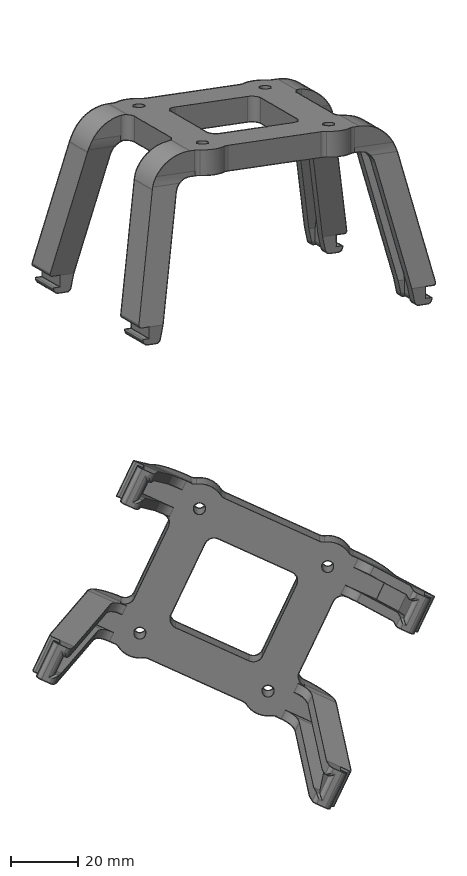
import cadquery as cq
import math

HEIGHT = 55.4
LENGTH = 98.5
FOOT_SPAN = 71.0

DECK_THICK = 8.0
DECK_HALF = 27.0
BAR_WIDTH = 12.0
CORNER_RADIUS = 3.0
HOLE_OFFSET = 21.0
HOLE_DIAMETER = 3.5
BOSS_RADIUS = 7.6

SPLAY_ANGLE = math.radians(12.3)
LEG_ROOT = 26.5
OUTER_BEND_RADIUS = 13.0
INNER_BEND_RADIUS = 5.0
SIDE_BEND_RADIUS = 15.0

FOOT_HEIGHT = 5.5
LEDGE_RADIUS = 0.8
STEM_FACE = 45.9
HOOK_REACH = 48.2
HOOK_THICK = 1.9
HOOK_UNDERCUT = 0.7
HOOK_RADIUS = 1.5
HOOK_TIP_RADIUS = 0.3
TOE_RADIUS = 1.5

CHANNEL_WIDTH = 6.0
CHANNEL_DEPTH = 6.0
CHANNEL_FLOOR = 43.3

MARGIN = 0.1

deck_underside = HEIGHT - DECK_THICK
bar_inner = DECK_HALF - BAR_WIDTH
bar_middle = DECK_HALF - BAR_WIDTH / 2
foot_middle = FOOT_SPAN / 2 - BAR_WIDTH / 2
splay = math.tan(SPLAY_ANGLE)
ledge_corner = LENGTH / 2 + LEDGE_RADIUS * (splay + 1 / math.cos(SPLAY_ANGLE) - 1)


def leg_y(depth, z):
    """Y of the plane parallel to the outer leg face, set in by depth, at height z."""
    return ledge_corner - depth / math.cos(SPLAY_ANGLE) - splay * (z - FOOT_HEIGHT)


def four_corners(distance):
    """Corners of a centred square, given its half side."""
    return [(sx * distance, sy * distance) for sx in (-1, 1) for sy in (-1, 1)]


def mirrored(half, plane):
    """A half shape joined with its mirror image."""
    return half.union(half.mirror(plane))


def fillet_at(solid, axis, places, radius):
    """Round the edges parallel to an axis that pass through the given places."""
    for place in places:
        low = [-LENGTH if c is None else c - MARGIN for c in place]
        high = [LENGTH if c is None else c + MARGIN for c in place]
        box = cq.selectors.BoxSelector(low, high)
        solid = solid.edges("|" + axis).edges(box).fillet(radius)
    return solid


def side_profile():
    """Bridge shape seen along X: deck, bends, sloping legs and hooked feet."""
    inner_corner = (leg_y(DECK_THICK, deck_underside), deck_underside)
    outer_corner = (leg_y(0, HEIGHT), HEIGHT)
    hook_tip = (HOOK_REACH, HOOK_THICK)
    hook_heel = (HOOK_REACH - HOOK_UNDERCUT, 0)
    outline = [
        (0, HEIGHT),
        outer_corner,
        (ledge_corner, FOOT_HEIGHT),
        (STEM_FACE, FOOT_HEIGHT),
        (STEM_FACE, HOOK_THICK),
        hook_tip,
        hook_heel,
        (leg_y(DECK_THICK, 0), 0),
        inner_corner,
        (0, deck_underside),
    ]
    half = cq.Workplane("YZ").polyline(outline).close().extrude(FOOT_SPAN / 2, both=True)
    roundings = [
        (outer_corner, OUTER_BEND_RADIUS),
        (inner_corner, INNER_BEND_RADIUS),
        ((ledge_corner, FOOT_HEIGHT), LEDGE_RADIUS),
        (hook_heel, HOOK_RADIUS),
        (hook_tip, HOOK_TIP_RADIUS),
    ]
    for (y, z), radius in roundings:
        half = fillet_at(half, "X", [(None, y, z)], radius)
    return mirrored(half, "XZ")


def leg_strip(width):
    """Pair of strips seen along Y that follow the middle of the legs down to the feet."""
    half_width = width / 2
    path = [
        (bar_middle, HEIGHT),
        (bar_middle, deck_underside),
        (foot_middle, FOOT_HEIGHT),
        (foot_middle, 0),
    ]
    outside = [(x + half_width, z) for x, z in path]
    inside = [(x - half_width, z) for x, z in reversed(path)]
    strip = cq.Workplane("XZ").polyline(outside + inside).close().extrude(LENGTH / 2, both=True)
    bends = [(bar_middle + side * half_width, None, deck_underside) for side in (-1, 1)]
    return mirrored(fillet_at(strip, "Y", bends, SIDE_BEND_RADIUS), "YZ")


def deck():
    """Frame with a square window, bosses at the holes and rounded roots for the legs."""
    stub_end = DECK_HALF + CORNER_RADIUS + MARGIN
    base = cq.Workplane("XY").workplane(offset=deck_underside)
    plate = base.rect(2 * DECK_HALF, 2 * stub_end).extrude(DECK_THICK)
    notches = [(0, side * (DECK_HALF + LENGTH / 2)) for side in (-1, 1)]
    plate = plate.cut(base.pushPoints(notches).rect(2 * bar_inner, LENGTH).extrude(DECK_THICK))
    window = base.rect(2 * bar_inner, 2 * bar_inner).extrude(DECK_THICK)
    plate = plate.cut(window.edges("|Z").fillet(CORNER_RADIUS))
    roots = [(sx * bar_inner, sy * DECK_HALF, None) for sx in (-1, 1) for sy in (-1, 1)]
    plate = fillet_at(plate, "Z", roots, CORNER_RADIUS)

    bosses = base.pushPoints(four_corners(HOLE_OFFSET)).circle(BOSS_RADIUS).extrude(DECK_THICK)
    core = base.rect(2 * bar_middle, LENGTH).extrude(DECK_THICK)
    plate = plate.union(bosses.cut(core))
    boss_reach = math.sqrt(BOSS_RADIUS**2 - (DECK_HALF - HOLE_OFFSET) ** 2)
    boss_ends = [
        (sx * DECK_HALF, sy * HOLE_OFFSET + end * boss_reach, None)
        for sx in (-1, 1) for sy in (-1, 1) for end in (-1, 1)
    ]
    return fillet_at(plate, "Z", boss_ends, CORNER_RADIUS)


def channels():
    """Grooves up the inner leg faces; the floor is upright near the foot, then follows the leg."""
    back_wall = DECK_THICK - CHANNEL_DEPTH
    floor_turn = FOOT_HEIGHT + (leg_y(back_wall, FOOT_HEIGHT) - CHANNEL_FLOOR) / splay
    outline = [
        (bar_middle, deck_underside),
        (leg_y(back_wall, deck_underside), deck_underside),
        (CHANNEL_FLOOR, floor_turn),
        (CHANNEL_FLOOR, 0),
        (bar_middle, 0),
    ]
    half = cq.Workplane("YZ").polyline(outline).close().extrude(FOOT_SPAN / 2, both=True)
    return mirrored(half, "XZ").intersect(leg_strip(CHANNEL_WIDTH))


def round_toes(solid):
    """Round the bottom edges of the feet at the inner face and around the channel mouth."""
    for side in (-1, 1):
        y_ends = sorted((side * (leg_y(DECK_THICK, 0) - MARGIN), side * (CHANNEL_FLOOR + MARGIN)))
        low = (-FOOT_SPAN, y_ends[0], -MARGIN)
        high = (FOOT_SPAN, y_ends[1], MARGIN)
        solid = solid.edges(cq.selectors.BoxSelector(low, high)).fillet(TOE_RADIUS)
    return solid


bridge = side_profile()
between_legs = cq.Workplane("XY").box(LENGTH, 2 * LEG_ROOT, 2 * LENGTH)
legs = bridge.intersect(leg_strip(BAR_WIDTH)).cut(channels()).cut(between_legs)
legs = round_toes(legs)
holes = cq.Workplane("XY").pushPoints(four_corners(HOLE_OFFSET)).circle(HOLE_DIAMETER / 2).extrude(HEIGHT)
result = legs.union(deck().intersect(bridge)).cut(holes)